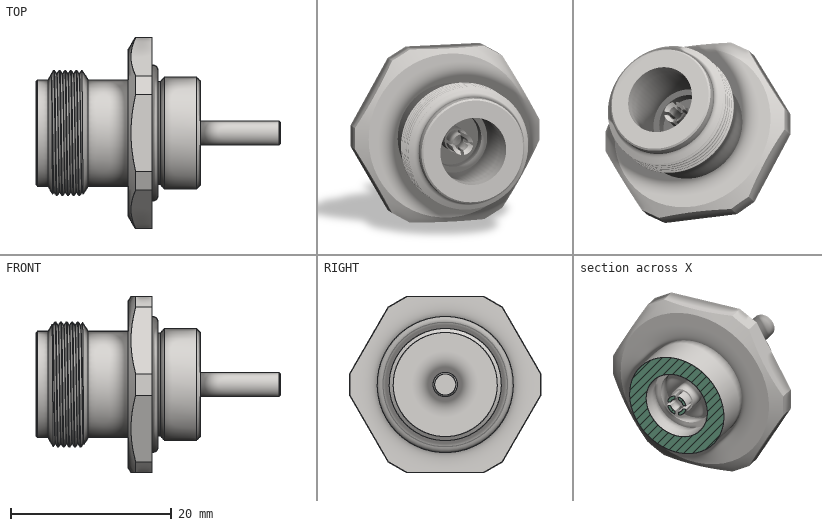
import cadquery as cq
import math

FULL_TURN = 360
HALF_TURN = 180
QUARTER_TURN = 90
HEXAGON_SIDES = 6

thread_start = 1.5
thread_end = 6.5
flange_front = 11.5
flange_back = 14.5
collar_back = 15.23
neck_end = 15.55
rear_body_end = 20.5
pin_end = 30.5

body_radius = 6.65
thread_crest_radius = 7.8
collar_radius = 8.5
neck_radius = 6.45
rear_body_radius = 7.0
pin_radius = 1.52
body_chamfer = 0.2
collar_round = collar_back - flange_back
rear_body_chamfer = 0.5
pin_chamfer = 0.2

thread_pitch = 0.7
thread_depth = 0.4
thread_root_flat = 0.04
thread_half_angle = math.radians(35)
thread_lead_in = 0.68
thread_lead_out = 0.75
thread_first_crest = 2.41

flange_across_flats = 22.0
flange_across_corners = 23.85
flange_bevel_start_radius = 10.4
flange_bevel_angle = math.radians(30)

bore_radius = 4.26
bore_depth = 9.0
inner_bore_radius = 3.5
inner_bore_depth = 10.5

contact_front = 5.0
contact_tip_radius = 1.34
contact_hole_radius = 0.87
contact_mouth_depth = contact_tip_radius - contact_hole_radius
contact_hole_depth = 4.0
contact_slot_width = 0.42
contact_slot_depth = 3.0
drill_point_half_angle = math.radians(59)


def turned(profile):
    """Revolve a closed half profile, drawn as (x, radius), about the X axis."""
    return profile.close().revolve(FULL_TURN, (0, 0, 0), (1, 0, 0))


def about_axis(body, angle):
    return body.rotate((0, 0, 0), (1, 0, 0), angle)


def cylinder(start, end, radius):
    return cq.Workplane("YZ", origin=(start, 0, 0)).circle(radius).extrude(end - start)


def make_shell():
    """Turned body from the mating face back to the end of the rear body."""
    profile = (
        cq.Workplane("XY")
        .lineTo(0, body_radius - body_chamfer)
        .lineTo(body_chamfer, body_radius)
        .lineTo(thread_start, body_radius)
        .lineTo(thread_start + thread_lead_in, thread_crest_radius)
        .lineTo(thread_end - thread_lead_out, thread_crest_radius)
        .lineTo(thread_end, body_radius)
        .lineTo(flange_back, body_radius)
        .lineTo(flange_back, collar_radius)
        .radiusArc((collar_back, collar_radius - collar_round), collar_round)
        .lineTo(collar_back, neck_radius)
        .lineTo(neck_end, neck_radius)
        .lineTo(neck_end + rear_body_chamfer, rear_body_radius)
        .lineTo(rear_body_end - rear_body_chamfer, rear_body_radius)
        .lineTo(rear_body_end, rear_body_radius - rear_body_chamfer)
        .lineTo(rear_body_end, 0)
    )
    return about_axis(turned(profile), QUARTER_TURN)


def make_thread_groove():
    """Helical V groove that leaves the thread ridges; it runs out past both tapers."""
    overshoot = 0.05
    root_radius = thread_crest_radius - thread_depth
    outer_radius = thread_crest_radius + overshoot
    root_half_width = thread_root_flat / 2
    outer_half_width = root_half_width + (outer_radius - root_radius) * math.tan(thread_half_angle)

    pitches_before_first_crest = 1.5
    groove_start = thread_first_crest - pitches_before_first_crest * thread_pitch
    turns = math.ceil((thread_end - groove_start) / thread_pitch)
    helix = cq.Wire.makeHelix(thread_pitch, turns * thread_pitch, root_radius)
    section = (
        cq.Workplane("XZ")
        .moveTo(root_radius, -root_half_width)
        .lineTo(outer_radius, -outer_half_width)
        .lineTo(outer_radius, outer_half_width)
        .lineTo(root_radius, root_half_width)
        .close()
    )
    groove = section.sweep(cq.Workplane(obj=helix), isFrenet=True)
    groove = groove.rotate((0, 0, 0), (0, 0, 1), HALF_TURN).rotate((0, 0, 0), (0, 1, 0), QUARTER_TURN)
    return groove.translate((groove_start, 0, 0))


def make_flange():
    """Hexagon with flats facing +-Z, truncated corners and a conical front bevel."""
    thickness = flange_back - flange_front

    def hexagon(across_flats, turn):
        corner_diameter = across_flats / math.cos(math.pi / HEXAGON_SIDES)
        outline = cq.Workplane("YZ", origin=(flange_front, 0, 0))
        prism = outline.polygon(HEXAGON_SIDES, corner_diameter).extrude(thickness)
        return about_axis(prism, turn)

    cone_back_radius = flange_bevel_start_radius + thickness / math.tan(flange_bevel_angle)
    bevel_cone = turned(
        cq.Workplane("XY")
        .moveTo(flange_front, 0)
        .lineTo(flange_front, flange_bevel_start_radius)
        .lineTo(flange_back, cone_back_radius)
        .lineTo(flange_back, 0)
    )
    flange = hexagon(flange_across_flats, 0)
    flange = flange.intersect(hexagon(flange_across_corners, FULL_TURN / HEXAGON_SIDES / 2))
    return flange.intersect(bevel_cone)


def make_rear_pin():
    pin = cylinder(rear_body_end, pin_end, pin_radius)
    return pin.faces(">X").chamfer(pin_chamfer)


def make_socket():
    """Stepped bore open at the mating face."""
    return cylinder(0, bore_depth, bore_radius).union(cylinder(0, inner_bore_depth, inner_bore_radius))


def make_contact():
    """Female contact: reduced, sharp-edged tip split by a cross of slots around a blind hole."""
    slot_end = contact_front + contact_slot_depth
    hole_end = contact_front + contact_hole_depth
    drill_point_length = contact_hole_radius / math.tan(drill_point_half_angle)
    contact = turned(
        cq.Workplane("XY")
        .moveTo(contact_front, contact_tip_radius)
        .lineTo(contact_front + contact_mouth_depth, contact_hole_radius)
        .lineTo(hole_end, contact_hole_radius)
        .lineTo(hole_end + drill_point_length, 0)
        .lineTo(inner_bore_depth, 0)
        .lineTo(inner_bore_depth, pin_radius)
        .lineTo(slot_end, pin_radius)
        .lineTo(slot_end, contact_tip_radius)
    )

    slot_center = (contact_front + contact_slot_depth / 2, 0, 0)
    slot_length = 2 * pin_radius
    for turn in (0, QUARTER_TURN):
        slot = cq.Workplane("XY").box(contact_slot_depth, slot_length, contact_slot_width)
        contact = contact.cut(about_axis(slot.translate(slot_center), turn))
    return contact


shell = make_shell().cut(make_thread_groove())
result = shell.union(make_flange()).union(make_rear_pin()).cut(make_socket()).union(make_contact())